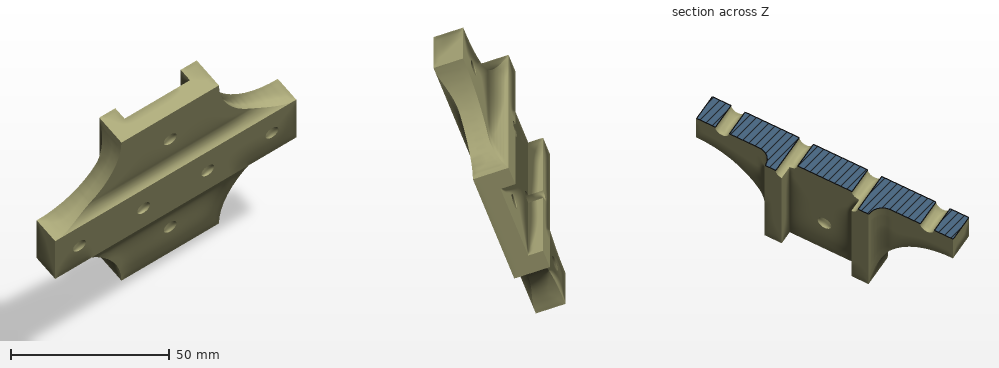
import cadquery as cq
import math

width = 94.0
height = 75.0
thickness = 15.0

spine_half_width = 19.0
tab_half_height = 10.25
corner_radius = 27.5

channel_depth = 5.0
rear_strip_depth = 3.0
channel_width = 25.5
front_fillet = 5.0
rear_fillet = 5.0

hole_diameter = 5.0
spine_hole_z = 23.8
rail_hole_y = 12.5
tab_hole_y = 37.5

half_width = width / 2
half_height = height / 2
rear_base_x = thickness - rear_strip_depth


def fillet_run(radius, depth):
    """Length along the deeper face of a concave fillet that is tangent to it and climbs by depth."""
    return math.sqrt(radius**2 - (radius - depth) ** 2)


def cross_outline():
    """Cross-shaped prism over the full thickness, with arcs in its four corners."""
    s, t = spine_half_width, tab_half_height
    outline = (
        cq.Workplane("YZ")
        .moveTo(-s, half_height)
        .lineTo(s, half_height)
        .radiusArc((half_width, t), -corner_radius)
        .lineTo(half_width, -t)
        .radiusArc((s, -half_height), -corner_radius)
        .lineTo(-s, -half_height)
        .radiusArc((-half_width, -t), -corner_radius)
        .lineTo(-half_width, t)
        .radiusArc((-s, half_height), -corner_radius)
        .close()
    )
    return outline.extrude(thickness)


def front_side_cut():
    """Material removed in front of the +Y tab, ending in a concave fillet at the rail."""
    run = fillet_run(front_fillet, channel_depth)
    profile = (
        cq.Workplane("XY", origin=(0, 0, -half_height))
        .moveTo(0, spine_half_width)
        .radiusArc((channel_depth, spine_half_width + run), -front_fillet)
        .lineTo(channel_depth, half_width)
        .lineTo(0, half_width)
        .close()
    )
    return profile.extrude(height)


def rear_end_cut():
    """Material removed behind the +Z end of the spine, with a concave fillet at the strip."""
    run = fillet_run(rear_fillet, rear_strip_depth)
    profile = (
        cq.Workplane("XZ", origin=(0, half_width, 0))
        .moveTo(thickness, tab_half_height)
        .radiusArc((rear_base_x, tab_half_height + run), rear_fillet)
        .lineTo(rear_base_x, half_height)
        .lineTo(thickness, half_height)
        .close()
    )
    return profile.extrude(width)


def channel_cut():
    """Channel between the two rails, open at both Z ends."""
    return cq.Workplane("XY").box(
        channel_depth, channel_width, height, centered=(False, True, True)
    )


def hole_cut():
    """Six holes along X, through the whole part."""
    centres = [(0, spine_hole_z), (0, -spine_hole_z)]
    for y in (rail_hole_y, tab_hole_y):
        centres += [(y, 0), (-y, 0)]
    return cq.Workplane("YZ").pushPoints(centres).circle(hole_diameter / 2).extrude(thickness)


result = cross_outline()
for cut, mirror_plane in ((front_side_cut(), "XZ"), (rear_end_cut(), "XY")):
    result = result.cut(cut).cut(cut.mirror(mirror_plane))
result = result.cut(channel_cut()).cut(hole_cut())